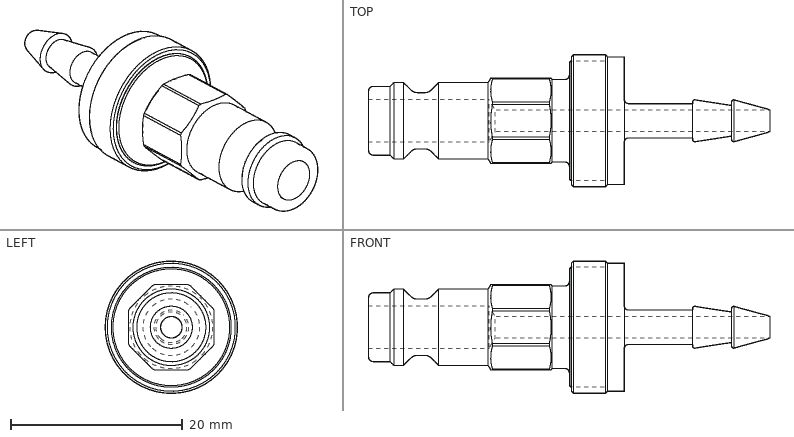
import cadquery as cq
import math

TIP_RIM_START = 2.55
COLLAR_END = 4.1
GROOVE_FLAT_START = 5.7
GROOVE_FLAT_END = 6.65
OCTAGON_START = 14.0
OCTAGON_END = 21.5
FLANGE_FRONT = 23.5
CUP_FRONT = 23.75
SEAT = 27.75
CUP_REAR = 29.95
FIRST_BARB = 37.95
SECOND_BARB = 42.5
TOTAL_LENGTH = 47.0

TIP_DIAMETER = 8.1
PLUG_DIAMETER = 9.0
GROOVE_DIAMETER = 6.65
NECK_DIAMETER = 9.7
FLANGE_DIAMETER = 14.05
OCTAGON_SIDES = 8
ACROSS_FLATS = 10.0
ACROSS_CORNERS = 10.7
OCTAGON_BEVEL_ANGLE = 30.0
TIP_FILLET = 0.55
GROOVE_FILLET = 1.0
NECK_FILLET = 0.5
FLANGE_CHAMFER = 0.2

INLET_DIAMETER = 4.95
INLET_DEPTH = 14.1
BORE_DIAMETER = 2.5
DRILL_POINT_ANGLE = 118.0

CUP_DIAMETER = 15.5
CUP_BASE_DIAMETER = 15.0
STEM_DIAMETER = 4.05
BARB_DIAMETER = 4.95
BARB_WAIST_DIAMETER = 3.6
BARB_TIP_DIAMETER = 2.75
BARB_FILLET = 0.3
STEM_FILLET = 0.5
END_BEVEL_LENGTH = 0.3
END_BEVEL_RISE = 0.15

CUP_CHAMFER = (CUP_DIAMETER - CUP_BASE_DIAMETER) / 2
DIAGONAL = math.sqrt(0.5)


def revolve_about_x(profile):
    """Turn a profile drawn as (x, radius) about the X axis."""
    return profile.close().revolve(360, (0, 0, 0), (1, 0, 0))


def octagon_section():
    """Octagonal wrench section with turned corners and bevelled ends."""
    corner_radius = ACROSS_CORNERS / 2
    slope = math.tan(math.radians(OCTAGON_BEVEL_ANGLE))
    front_bevel = (corner_radius - PLUG_DIAMETER / 2) * slope
    rear_bevel = (corner_radius - NECK_DIAMETER / 2) * slope
    envelope = revolve_about_x(
        cq.Workplane("XY")
        .moveTo(OCTAGON_START, 0)
        .lineTo(OCTAGON_START, PLUG_DIAMETER / 2)
        .lineTo(OCTAGON_START + front_bevel, corner_radius)
        .lineTo(OCTAGON_END - rear_bevel, corner_radius)
        .lineTo(OCTAGON_END, NECK_DIAMETER / 2)
        .lineTo(OCTAGON_END, 0)
    )
    half_sector_angle = 180 / OCTAGON_SIDES
    sharp_corner_diameter = ACROSS_FLATS / math.cos(math.radians(half_sector_angle))
    prism = (
        cq.Workplane("YZ", origin=(OCTAGON_START, 0, 0))
        .transformed(rotate=(0, 0, half_sector_angle))
        .polygon(OCTAGON_SIDES, sharp_corner_diameter)
        .extrude(OCTAGON_END - OCTAGON_START)
    )
    return envelope.intersect(prism)


def plug_nose():
    """Turned nose with tip, latching collar, and latching groove."""
    tip_radius = TIP_DIAMETER / 2
    plug_radius = PLUG_DIAMETER / 2
    groove_radius = GROOVE_DIAMETER / 2
    fillet_run = GROOVE_FILLET * DIAGONAL
    fillet_rise = GROOVE_FILLET * (1 - DIAGONAL)
    flank_bottom = groove_radius + fillet_rise
    flank_run = plug_radius - flank_bottom
    return revolve_about_x(
        cq.Workplane("XY")
        .lineTo(0, tip_radius - TIP_FILLET)
        .radiusArc((TIP_FILLET, tip_radius), TIP_FILLET)
        .lineTo(TIP_RIM_START, tip_radius)
        .lineTo(TIP_RIM_START + plug_radius - tip_radius, plug_radius)
        .lineTo(COLLAR_END, plug_radius)
        .lineTo(GROOVE_FLAT_START - fillet_run, flank_bottom)
        .radiusArc((GROOVE_FLAT_START, groove_radius), -GROOVE_FILLET)
        .lineTo(GROOVE_FLAT_END, groove_radius)
        .radiusArc((GROOVE_FLAT_END + fillet_run, flank_bottom), -GROOVE_FILLET)
        .lineTo(GROOVE_FLAT_END + fillet_run + flank_run, plug_radius)
        .lineTo(OCTAGON_START, plug_radius)
        .lineTo(OCTAGON_START, 0)
    )


def plug_flange():
    """Neck and the round flange that seats in the cup."""
    neck_radius = NECK_DIAMETER / 2
    flange_radius = FLANGE_DIAMETER / 2
    return revolve_about_x(
        cq.Workplane("XY")
        .moveTo(OCTAGON_END, 0)
        .lineTo(OCTAGON_END, neck_radius)
        .lineTo(FLANGE_FRONT - NECK_FILLET, neck_radius)
        .radiusArc((FLANGE_FRONT, neck_radius + NECK_FILLET), -NECK_FILLET)
        .lineTo(FLANGE_FRONT, flange_radius - FLANGE_CHAMFER)
        .lineTo(FLANGE_FRONT + FLANGE_CHAMFER, flange_radius)
        .lineTo(SEAT, flange_radius)
        .lineTo(SEAT, 0)
    )


def through_bore():
    """Wide inlet with a drill-point bottom, then the narrow bore to the far end."""
    inlet_radius = INLET_DIAMETER / 2
    bore_radius = BORE_DIAMETER / 2
    cone_length = (inlet_radius - bore_radius) / math.tan(math.radians(DRILL_POINT_ANGLE / 2))
    return revolve_about_x(
        cq.Workplane("XY")
        .lineTo(0, inlet_radius)
        .lineTo(INLET_DEPTH, inlet_radius)
        .lineTo(INLET_DEPTH + cone_length, bore_radius)
        .lineTo(TOTAL_LENGTH, bore_radius)
        .lineTo(TOTAL_LENGTH, 0)
    )


def make_plug():
    """Quick-coupling plug."""
    return plug_nose().union(octagon_section()).union(plug_flange()).cut(through_bore())


def make_barbed_cup():
    """Cup that holds the plug flange, with a two-barb hose stem."""
    cup_radius = CUP_DIAMETER / 2
    bore_radius = FLANGE_DIAMETER / 2
    base_radius = CUP_BASE_DIAMETER / 2
    stem_radius = STEM_DIAMETER / 2
    barb_radius = BARB_DIAMETER / 2
    waist_radius = BARB_WAIST_DIAMETER / 2
    tip_radius = BARB_TIP_DIAMETER / 2
    body = revolve_about_x(
        cq.Workplane("XY")
        .moveTo(SEAT, 0)
        .lineTo(SEAT, bore_radius)
        .lineTo(CUP_FRONT, bore_radius)
        .lineTo(CUP_FRONT, base_radius)
        .lineTo(CUP_FRONT + CUP_CHAMFER, cup_radius)
        .lineTo(SEAT, cup_radius)
        .lineTo(SEAT + CUP_CHAMFER, base_radius)
        .lineTo(CUP_REAR, base_radius)
        .lineTo(CUP_REAR, stem_radius + STEM_FILLET)
        .radiusArc((CUP_REAR + STEM_FILLET, stem_radius), -STEM_FILLET)
        .lineTo(FIRST_BARB, stem_radius)
        .lineTo(FIRST_BARB, barb_radius - BARB_FILLET)
        .radiusArc((FIRST_BARB + BARB_FILLET, barb_radius), BARB_FILLET)
        .lineTo(SECOND_BARB, waist_radius)
        .lineTo(SECOND_BARB, barb_radius - BARB_FILLET)
        .radiusArc((SECOND_BARB + BARB_FILLET, barb_radius), BARB_FILLET)
        .lineTo(TOTAL_LENGTH - END_BEVEL_LENGTH, tip_radius)
        .lineTo(TOTAL_LENGTH, tip_radius - END_BEVEL_RISE)
        .lineTo(TOTAL_LENGTH, 0)
    )
    return body.cut(through_bore())


plug = make_plug()
barbed_cup = make_barbed_cup()
result = cq.Compound.makeCompound([plug.val(), barbed_cup.val()])